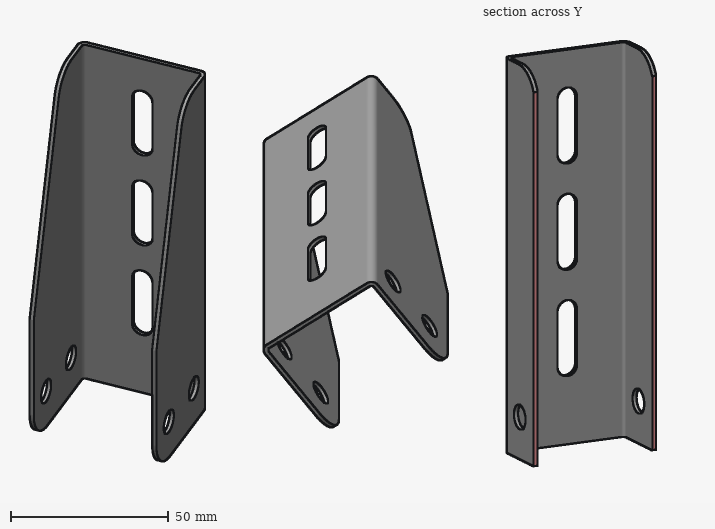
import cadquery as cq

WIDTH = 44.0
DEPTH = 41.0
HEIGHT = 130.0
SHEET = 1.5
BEND_INNER_RADIUS = 1.0
BEND_OUTER_RADIUS = BEND_INNER_RADIUS + SHEET

KNEE_HEIGHT = 48.0
TOP_EDGE_DEPTH = 18.77
CORNER_RADIUS = 11.0

HOLE_DIAMETER = 8.0
HOLE_HEIGHT = 14.0
FIRST_HOLE_DEPTH = 11.0
HOLE_SPACING = 20.0
HOLE_COUNT = 2

SLOT_WIDTH = 7.0
SLOT_LENGTH = 25.0
SLOT_PITCH = 35.0
SLOT_COUNT = 3
FIRST_SLOT_HEIGHT = 35.0

BACK_Y = DEPTH


def rounded_block(width, depth, bend_radius):
    """Full-height block from Y = 0 with its two rear vertical edges rounded."""
    block = cq.Workplane("XY").box(width, depth, HEIGHT, centered=(True, False, False))
    return block.edges("|Z and >Y").fillet(bend_radius)


def channel():
    """U-shaped channel, open toward -Y, with constant sheet thickness."""
    outside = rounded_block(WIDTH, DEPTH, BEND_OUTER_RADIUS)
    inside = rounded_block(WIDTH - 2 * SHEET, DEPTH - SHEET, BEND_INNER_RADIUS)
    return outside.cut(inside)


def flange_profile():
    """Side outline of the flanges, extruded across the full width."""
    profile = (
        cq.Workplane("YZ")
        .polyline([
            (BACK_Y, 0),
            (0, 0),
            (0, KNEE_HEIGHT),
            (BACK_Y - TOP_EDGE_DEPTH, HEIGHT),
            (BACK_Y, HEIGHT),
        ])
        .close()
        .extrude(WIDTH / 2, both=True)
    )
    profile = profile.edges("|X").edges("<Y").edges("<Z").fillet(CORNER_RADIUS)
    top_front_edge = cq.selectors.NearestToPointSelector((0, BACK_Y - TOP_EDGE_DEPTH, HEIGHT))
    return profile.edges("|X").edges(top_front_edge).fillet(CORNER_RADIUS)


def pivot_holes():
    """Cylinders that pierce both flanges."""
    centres = [
        (BACK_Y - FIRST_HOLE_DEPTH - index * HOLE_SPACING, HOLE_HEIGHT)
        for index in range(HOLE_COUNT)
    ]
    return (
        cq.Workplane("YZ")
        .pushPoints(centres)
        .circle(HOLE_DIAMETER / 2)
        .extrude(WIDTH / 2, both=True)
    )


def mounting_slots():
    """Round-ended vertical slots that pierce the back web."""
    centres = [(0, FIRST_SLOT_HEIGHT + index * SLOT_PITCH) for index in range(SLOT_COUNT)]
    return (
        cq.Workplane("XZ")
        .pushPoints(centres)
        .slot2D(SLOT_LENGTH, SLOT_WIDTH, angle=90)
        .extrude(-DEPTH)
    )


result = (
    channel()
    .intersect(flange_profile())
    .cut(pivot_holes())
    .cut(mounting_slots())
)